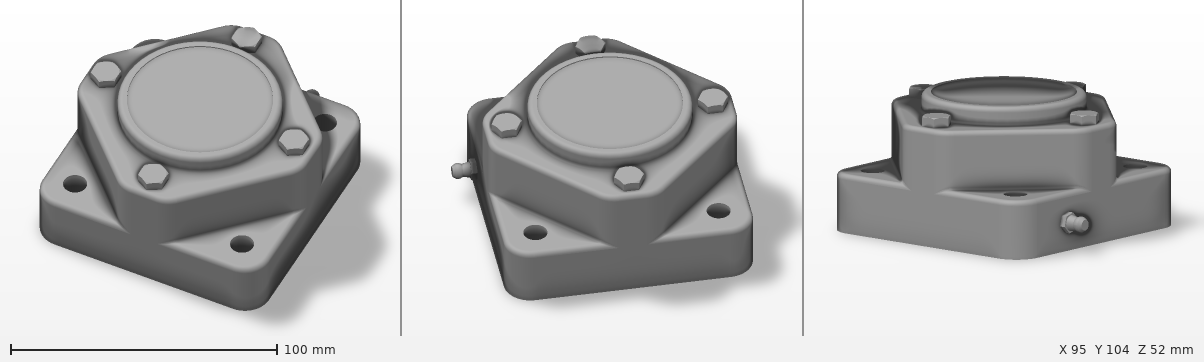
import cadquery as cq
import math

overall_length = 104.0
side = 95.0
half_side = side / 2
flange_height = 22.5
block_height = 45.0
corner_radius = 10.1
edge_radius = 2.0
foot_radius = 1.0
block_cut_half_flat = 9.6

hole_diameter = 9.0
hole_spacing = 70.0

cap_top = 52.0
cap_radius = 31.0
recess_radius = 27.5
recess_depth = 0.5

bolt_offset = 39.4
bolt_flats = 10.0
bolt_head_height = 3.7
bolt_chamfer_angle = 30

nipple_x = 20.0
nipple_z = 11.0
nipple_length = overall_length - side
nipple_hex_flats = 7.0
nipple_hex_length = 2.3
nipple_hex_turn = -45
cone_base_radius = 3.0
neck_radius = 2.5
neck_position = 5.3
head_radius = 3.0
head_middle = 6.8
head_edge_radius = 2.9
head_edge_position = 7.7
tip_radius = 2.1


def hexagon_diameter(flats):
    """Diameter across the corners of a hexagon, from its width across flats."""
    return flats / math.cos(math.radians(30))


def make_flange():
    """Square plate with rounded corners and a rounded top edge."""
    flange = cq.Workplane("XY").rect(side, side).extrude(flange_height)
    return flange.edges("|Z").fillet(corner_radius).faces(">Z").edges().fillet(edge_radius)


def make_block():
    """Square block with cut corners, standing from the base plane."""
    flat = block_cut_half_flat
    outline = []
    for turn in range(4):
        angle = math.radians(90 * turn)
        for across in (-flat, flat):
            outline.append((
                half_side * math.cos(angle) - across * math.sin(angle),
                half_side * math.sin(angle) + across * math.cos(angle),
            ))
    block = cq.Workplane("XY").polyline(outline).close().extrude(block_height)
    return block.edges("|Z").fillet(corner_radius).faces(">Z").edges().fillet(edge_radius)


def make_housing():
    """Flange and block joined, with fillets along the foot of the four diagonal walls."""
    housing = make_flange().union(make_block())
    flange_zone = cq.selectors.BoxSelector(
        (-half_side, -half_side, 0), (half_side, half_side, flange_height + edge_radius))
    foot_lines = housing.edges("|(1, 1, 0) or |(1, -1, 0)").edges(flange_zone)
    return foot_lines.fillet(foot_radius)


def make_cap():
    """Cap turned about Z: flared foot, rounded rim and a shallow recess in the top."""
    arc = math.sqrt(0.5)
    foot_top = block_height + foot_radius
    rim_radius = cap_radius - edge_radius
    rim_start = cap_top - edge_radius
    profile = (
        cq.Workplane("XZ")
        .moveTo(0, 0)
        .lineTo(cap_radius + foot_radius, 0)
        .lineTo(cap_radius + foot_radius, block_height)
        .threePointArc(
            (cap_radius + foot_radius * (1 - arc), foot_top - foot_radius * arc),
            (cap_radius, foot_top))
        .lineTo(cap_radius, rim_start)
        .threePointArc(
            (rim_radius + edge_radius * arc, rim_start + edge_radius * arc),
            (rim_radius, cap_top))
        .lineTo(recess_radius, cap_top)
        .lineTo(recess_radius, cap_top - recess_depth)
        .lineTo(0, cap_top - recess_depth)
        .close()
    )
    return profile.revolve(360, (0, 0, 0), (0, 1, 0))


def make_bolt_head():
    """Hexagon with corners on Y, its top corners cut back by a cone."""
    corner_reach = hexagon_diameter(bolt_flats) / 2
    flat_reach = bolt_flats / 2
    slope = math.tan(math.radians(bolt_chamfer_angle))
    head = (
        cq.Workplane("XY")
        .polygon(6, hexagon_diameter(bolt_flats))
        .extrude(bolt_head_height)
        .rotate((0, 0, 0), (0, 0, 1), 90)
    )
    cone = (
        cq.Workplane("XZ")
        .moveTo(0, 0)
        .lineTo(corner_reach, 0)
        .lineTo(corner_reach, bolt_head_height - (corner_reach - flat_reach) * slope)
        .lineTo(flat_reach, bolt_head_height)
        .lineTo(0, bolt_head_height)
        .close()
        .revolve(360, (0, 0, 0), (0, 1, 0))
    )
    return head.intersect(cone)


def make_nipple():
    """Grease nipple built along Z, then laid over to point along +Y."""
    hexagon = (
        cq.Workplane("XY")
        .polygon(6, hexagon_diameter(nipple_hex_flats))
        .extrude(nipple_hex_length)
        .rotate((0, 0, 0), (0, 0, 1), nipple_hex_turn)
    )
    stem = (
        cq.Workplane("XZ")
        .moveTo(0, 0)
        .lineTo(cone_base_radius, 0)
        .lineTo(cone_base_radius, nipple_hex_length)
        .lineTo(neck_radius, neck_position)
        .threePointArc((head_radius, head_middle), (head_edge_radius, head_edge_position))
        .lineTo(tip_radius, nipple_length)
        .lineTo(0, nipple_length)
        .close()
        .revolve(360, (0, 0, 0), (0, 1, 0))
    )
    nipple = hexagon.union(stem).rotate((0, 0, 0), (1, 0, 0), -90)
    return nipple.translate((nipple_x, half_side, nipple_z))


result = make_housing().union(make_cap()).union(make_nipple())

for x, y in ((bolt_offset, 0), (-bolt_offset, 0), (0, bolt_offset), (0, -bolt_offset)):
    result = result.union(make_bolt_head().translate((x, y, block_height)))

mounting_holes = (
    cq.Workplane("XY")
    .rect(hole_spacing, hole_spacing, forConstruction=True)
    .vertices()
    .circle(hole_diameter / 2)
    .extrude(flange_height)
)
result = result.cut(mounting_holes)